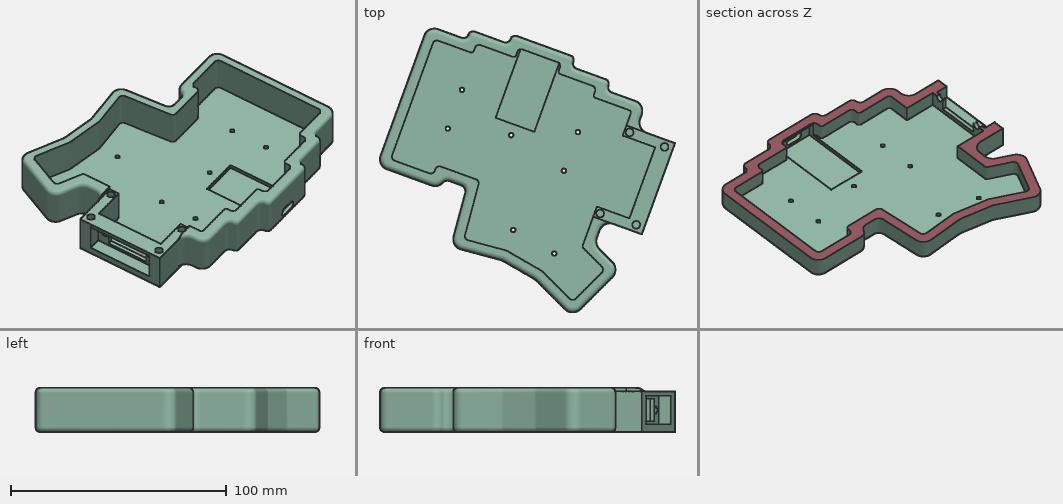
import cadquery as cq
import math

TILT = -20.0
KEY = 19.05
STAGGER = KEY / 4
COLUMNS = 5
TALLEST = 2
ROWS = 3
GAP = 1.0
WALL = 5.0
HEIGHT = 20.6
FLOOR = 3.0
RIM_FILLET = 2.3

OUTER_RADIUS = 5.0
CROOK_RADIUS = 3.0
OUTER_STEP_RADIUS = 2.37
BOTTOM_STEP_CONVEX = 4.3
BOTTOM_STEP_CONCAVE = 3.3
BOTTOM_STEP_ANGLE = 67.0
CAVITY_RADIUS = 2.0
CAVITY_END_RADIUS = 1.2
CAVITY_STEP_RADIUS = 1.2
SHARP = 0.0

THUMB_START = (63.85, -79.55)
THUMB_ANGLES = (5.0, -10.0, -25.0)
THUMB_FIRST = 20.4
THUMB_LAST = KEY + GAP
THUMB_DEPTH = KEY + 2 * GAP

BOX_CENTRE_V = -ROWS * KEY / 2
BOX_INNER_LENGTH = 16.0
BOX_INNER_WIDTH = 35.0
BOX_END_WALL = 8.0
BOX_HEIGHT = 18.9
CAP_HOLE = 3.6
CAP_HOLE_DEPTH = 8.0
CAP_HOLE_INNER_INSET = 2.5
CAP_HOLE_OUTER_INSET = BOX_END_WALL / 2
CAP_HOLE_INNER_SIDE_INSET = WALL / 2
CAP_HOLE_OUTER_SIDE_INSET = 3.3

FLANGE_WIDTH = 33.0
FLANGE_HEIGHT = 13.3
FLANGE_DEPTH = 6.0
PLUG_WIDTH = 21.0
PLUG_HEIGHT = 10.6
PLUG_HOLE = 3.6
PLUG_HOLE_SPACING = 25.6

POCKET_BOTTOM = 1.25
POCKET_TOP = 9.4
POCKET_LENGTH = 34.0
POCKET_INTO_WALL = 2.5
SLOT_LENGTH = 9.0
SLOT_HEIGHT = 3.8
SLOT_Z = 4.5

MOUNT_HOLE = 2.0

THUMB_MOUNT_HOLES = [(63.54, -69.51), (85.13, -73.29)]

RIGHT = COLUMNS * KEY + GAP
TALLEST_CENTRE = (TALLEST + 0.5) * KEY


def travel(start, length, angle):
    """Point reached from start along a direction given in degrees."""
    a = math.radians(angle)
    return (start[0] + length * math.cos(a), start[1] + length * math.sin(a))


def column_top(index):
    """v of the upper key edge of a column."""
    return STAGGER * (TALLEST - abs(index - TALLEST))


def cavity_corners():
    """Corners of the cavity, clockwise, as (point, cavity radius, outer radius)."""
    first, last = CAVITY_RADIUS, OUTER_RADIUS
    left = -GAP
    bottom = -ROWS * KEY - GAP
    corners = [((left, bottom), first, last), ((left, GAP), first, last)]
    for i in range(1, COLUMNS):
        low, high = CAVITY_STEP_RADIUS, CAVITY_RADIUS
        rising = column_top(i) > column_top(i - 1)
        u = i * KEY + (-GAP if rising else GAP)
        radii = (low, high) if rising else (high, low)
        corners.append(((u, column_top(i - 1) + GAP), radii[0], OUTER_STEP_RADIUS))
        corners.append(((u, column_top(i) + GAP), radii[1], OUTER_STEP_RADIUS))
    corners.append(((RIGHT, GAP), CAVITY_END_RADIUS, last))

    joint1 = THUMB_START
    joint2 = travel(joint1, KEY, THUMB_ANGLES[1])
    tip = travel(joint2, THUMB_LAST, THUMB_ANGLES[2])
    shoulder = travel(tip, THUMB_DEPTH, THUMB_ANGLES[2] + 90)
    heel = travel(joint1, -THUMB_FIRST, THUMB_ANGLES[0])
    inner_run = (shoulder[0] - RIGHT) / math.cos(math.radians(THUMB_ANGLES[2]))
    armpit = travel(shoulder, -inner_run, THUMB_ANGLES[2])
    crook_v = bottom + STAGGER
    crook_u = heel[0] - (crook_v - heel[1]) * math.tan(math.radians(THUMB_ANGLES[0]))
    corners += [
        (armpit, CAVITY_STEP_RADIUS, last),
        (shoulder, first, last),
        (tip, first, last),
        (joint2, SHARP, last),
        (joint1, SHARP, last),
        (heel, first, last),
        ((crook_u, crook_v), first, CROOK_RADIUS),
        ((KEY + GAP, crook_v), first, BOTTOM_STEP_CONCAVE),
        ((KEY + GAP, bottom), first, BOTTOM_STEP_CONVEX),
    ]
    return corners


def unit(a, b):
    """Unit vector from a to b."""
    d = math.dist(a, b)
    return ((b[0] - a[0]) / d, (b[1] - a[1]) / d)


def offset_corners(points, distance):
    """Corners of a clockwise polygon moved outwards by a distance."""
    moved = []
    for i, p in enumerate(points):
        a = unit(points[i - 1], p)
        b = unit(p, points[(i + 1) % len(points)])
        scale = distance / (1 + a[0] * b[0] + a[1] * b[1])
        moved.append((p[0] - (a[1] + b[1]) * scale, p[1] + (a[0] + b[0]) * scale))
    return moved


def rounded_prism(points, radii, z_bottom, z_top):
    """Prism over a polygon whose corners are replaced by tangent arcs."""
    wire = None
    for i, (p, r) in enumerate(zip(points, radii)):
        back = unit(p, points[i - 1])
        ahead = unit(p, points[(i + 1) % len(points)])
        half = math.acos(back[0] * ahead[0] + back[1] * ahead[1]) / 2
        trim = r / math.tan(half)
        start = (p[0] + back[0] * trim, p[1] + back[1] * trim)
        end = (p[0] + ahead[0] * trim, p[1] + ahead[1] * trim)
        if wire is None:
            wire = cq.Workplane("XY", origin=(0, 0, z_bottom)).moveTo(*start)
        else:
            wire = wire.lineTo(*start)
        if r > 0:
            bisector = unit((0, 0), (back[0] + ahead[0], back[1] + ahead[1]))
            reach = r / math.sin(half) - r
            middle = (p[0] + bisector[0] * reach, p[1] + bisector[1] * reach)
            wire = wire.threePointArc(middle, end)
    return wire.close().extrude(z_top - z_bottom)


def block(u_range, v_range, z_range):
    """Box given by its (low, high) range along each axis."""
    size = [r[1] - r[0] for r in (u_range, v_range, z_range)]
    return (
        cq.Workplane("XY")
        .box(*size, centered=False)
        .translate((u_range[0], v_range[0], z_range[0]))
    )


def across(centre, width):
    """(low, high) range of a width about a centre."""
    return (centre - width / 2, centre + width / 2)


BOX_INNER_END = RIGHT + BOX_INNER_LENGTH
BOX_END = BOX_INNER_END + BOX_END_WALL
BOX_SIDES = across(BOX_CENTRE_V, BOX_INNER_WIDTH + 2 * WALL)


def shell():
    """Outer body with rounded rims, joined to the square connector box."""
    corners = cavity_corners()
    outline = offset_corners([c[0] for c in corners], WALL)
    radii = [c[2] for c in corners]
    lean = STAGGER / 2 / math.tan(math.radians(BOTTOM_STEP_ANGLE))
    upper, lower = outline[-2:]
    outline[-2:] = [(upper[0] + lean, upper[1]), (lower[0] - lean, lower[1])]
    at = [c[0] for c in corners].index((RIGHT, GAP)) + 1
    wall_u = RIGHT + WALL
    outline[at:at] = [
        (wall_u, BOX_SIDES[1]),
        (BOX_END, BOX_SIDES[1]),
        (BOX_END, BOX_SIDES[0]),
        (wall_u, BOX_SIDES[0]),
    ]
    radii[at:at] = [OUTER_RADIUS, SHARP, SHARP, OUTER_RADIUS]
    body = rounded_prism(outline, radii, 0, HEIGHT).faces("<Z or >Z").edges().fillet(RIM_FILLET)
    box = block((RIGHT, BOX_END), BOX_SIDES, (0, BOX_HEIGHT))
    above_box = block((RIGHT, BOX_END), BOX_SIDES, (BOX_HEIGHT, HEIGHT))
    return body.union(box).cut(above_box)


def cavity():
    """Open space for the keys, running on into the connector box."""
    corners = cavity_corners()
    keys = rounded_prism([c[0] for c in corners], [c[1] for c in corners], FLOOR, HEIGHT)
    box = block((RIGHT - WALL, BOX_INNER_END), across(BOX_CENTRE_V, BOX_INNER_WIDTH), (FLOOR, HEIGHT))
    return keys.union(box)


def cap_holes():
    """Blind holes for the screws of the box cap."""
    places = [
        (RIGHT + CAP_HOLE_INNER_INSET, CAP_HOLE_INNER_SIDE_INSET),
        (BOX_END - CAP_HOLE_OUTER_INSET, CAP_HOLE_OUTER_SIDE_INSET),
    ]
    centres = []
    for u, inset in places:
        centres += [(u, BOX_SIDES[0] + inset), (u, BOX_SIDES[1] - inset)]
    return (
        cq.Workplane("XY", origin=(0, 0, BOX_HEIGHT))
        .pushPoints(centres)
        .circle(CAP_HOLE / 2)
        .extrude(-CAP_HOLE_DEPTH)
    )


def connector_cut():
    """Flange recess, plug opening and screw holes in the end wall of the box."""
    mid = HEIGHT / 2
    flange = block(
        (BOX_END - FLANGE_DEPTH, BOX_END), across(BOX_CENTRE_V, FLANGE_WIDTH), across(mid, FLANGE_HEIGHT)
    )
    plug = block((BOX_INNER_END, BOX_END), across(BOX_CENTRE_V, PLUG_WIDTH), across(mid, PLUG_HEIGHT))
    screws = (
        cq.Workplane("YZ", origin=(BOX_INNER_END, BOX_CENTRE_V, mid))
        .pushPoints([(v, 0) for v in across(0, PLUG_HOLE_SPACING)])
        .circle(PLUG_HOLE / 2)
        .extrude(BOX_END_WALL)
    )
    return flange.union(plug).union(screws)


def controller_cut():
    """Pocket sunk in the floor and into the wall, and the slot through that wall."""
    centre = TALLEST_CENTRE
    wall_v = column_top(TALLEST) + GAP
    back = wall_v + POCKET_INTO_WALL
    pocket = block(across(centre, KEY), (wall_v - POCKET_LENGTH, back), (POCKET_BOTTOM, POCKET_TOP))
    slot = (
        cq.Workplane("XZ", origin=(centre, wall_v, SLOT_Z))
        .slot2D(SLOT_LENGTH, SLOT_HEIGHT)
        .extrude(-2 * WALL)
    )
    return pocket.union(slot)


def mount_holes():
    """Through holes in the floor, placed between the keys."""
    upper = -KEY + STAGGER / 2
    centres = [(u, upper - row * KEY) for u in (KEY, (COLUMNS - 1) * KEY) for row in range(ROWS - 1)]
    centres.append((TALLEST_CENTRE, column_top(TALLEST) - 2 * KEY))
    centres += THUMB_MOUNT_HOLES
    return cq.Workplane("XY").pushPoints(centres).circle(MOUNT_HOLE / 2).extrude(FLOOR)


tray = shell()
for removed in (cavity(), controller_cut(), cap_holes(), connector_cut(), mount_holes()):
    tray = tray.cut(removed)
result = tray.rotate((0, 0, 0), (0, 0, 1), TILT)